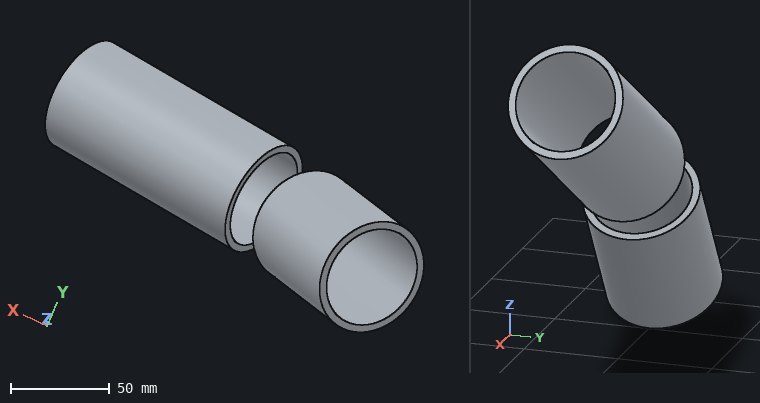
import cadquery as cq

outer_diameter = 60.4
wall_thickness = 4.0

lower_length = 70.1
lower_slope = 58.0

upper_length = 120.0
upper_slope = 33.2
upper_start_x = 60.2
upper_start_z = 82.9


def make_pipe(length, slope, start):
    """Open pipe that rises from start along a line at slope degrees above +X."""
    outer_radius = outer_diameter / 2
    inner_radius = outer_radius - wall_thickness
    upright = cq.Workplane("XY").circle(outer_radius).circle(inner_radius).extrude(length)
    tilt_from_vertical = 90 - slope
    return upright.rotate((0, 0, 0), (0, 1, 0), tilt_from_vertical).translate(start)


lower_pipe = make_pipe(lower_length, lower_slope, (0, 0, 0))
upper_pipe = make_pipe(upper_length, upper_slope, (upper_start_x, 0, upper_start_z))

result = cq.Compound.makeCompound([lower_pipe.val(), upper_pipe.val()])